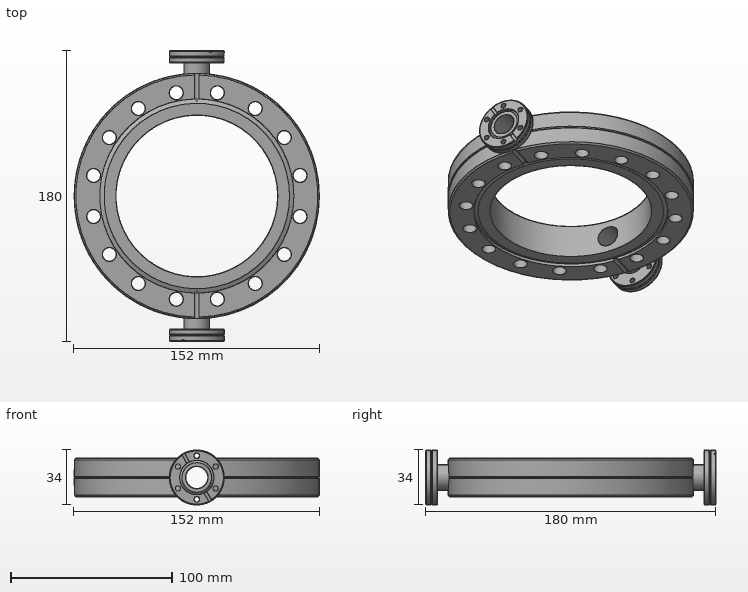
import cadquery as cq
ring_diameter = 152.0
ring_bore_diameter = 100.0
ring_thickness = 24.0
ring_chamfer = 1.0
ring_recess_diameter = 120.2
ring_knife_diameter = 114.8
ring_bolt_count = 16
ring_bolt_circle_diameter = 130.3
ring_bolt_hole_diameter = 8.5
ring_leak_groove_width = 2.9
ring_leak_groove_angle = 90.0

overall_length = 180.0
port_diameter = 34.0
port_thickness = 7.5
port_chamfer = 0.5
port_bore_diameter = 13.7
port_recess_diameter = 21.2
port_knife_diameter = 18.4
port_bolt_count = 6
port_bolt_circle_diameter = 27.0
port_bolt_hole_diameter = 3.2
port_bolt_start_angle = 90.0
port_leak_groove_width = 2.0
port_leak_groove_angle = 120.0
tube_diameter = 16.0

recess_depth = 2.0
knife_tip_depth = 0.7
rim_groove_half_height = 0.63
rim_groove_depth = 0.5

ring_radius = ring_diameter / 2
port_radius = port_diameter / 2


def flange_body(radius, thickness, chamfer):
    """Chamfered disc centred on the XY plane, with a V groove around the middle of its rim."""
    half = thickness / 2
    return (
        cq.Workplane("XZ")
        .moveTo(0, -half)
        .lineTo(radius - chamfer, -half)
        .lineTo(radius, -half + chamfer)
        .lineTo(radius, -rim_groove_half_height)
        .lineTo(radius - rim_groove_depth, 0)
        .lineTo(radius, rim_groove_half_height)
        .lineTo(radius, half - chamfer)
        .lineTo(radius - chamfer, half)
        .lineTo(0, half)
        .close()
        .revolve(360, (0, 0, 0), (0, 1, 0))
    )


def knife_edge_recess(face_z, recess_diameter, knife_diameter):
    """Cutter for a recess in the face at face_z, whose floor rises inward to the knife edge."""
    floor_z = face_z - recess_depth
    tip_z = face_z - knife_tip_depth
    return (
        cq.Workplane("XZ")
        .moveTo(0, face_z)
        .lineTo(recess_diameter / 2, face_z)
        .lineTo(recess_diameter / 2, floor_z)
        .lineTo(knife_diameter / 2, tip_z)
        .lineTo(0, tip_z)
        .close()
        .revolve(360, (0, 0, 0), (0, 1, 0))
    )


def leak_grooves(face_z, width, recess_diameter, knife_diameter, angle):
    """Cutter for two opposite half-round radial grooves, from the recess out past the rim."""
    inner_radius = (recess_diameter + knife_diameter) / 4
    groove = (
        cq.Workplane("ZY", origin=(-inner_radius, 0, face_z))
        .circle(width / 2)
        .extrude(recess_diameter)
    )
    pair = groove.union(groove.rotate((0, 0, 0), (0, 0, 1), 180))
    return pair.rotate((0, 0, 0), (0, 0, 1), angle)


def bolt_holes(count, circle_diameter, hole_diameter, thickness, start_angle):
    """Cutter for a circle of through holes."""
    return (
        cq.Workplane("XY", origin=(0, 0, -thickness / 2))
        .polarArray(circle_diameter / 2, start_angle, 360, count)
        .circle(hole_diameter / 2)
        .extrude(thickness)
    )


def main_ring():
    """Ring flange, sealing on both faces."""
    ring = flange_body(ring_radius, ring_thickness, ring_chamfer)
    bore = cq.Workplane("XY").circle(ring_bore_diameter / 2).extrude(ring_thickness, both=True)
    top_z = ring_thickness / 2
    recess = knife_edge_recess(top_z, ring_recess_diameter, ring_knife_diameter)
    grooves = leak_grooves(
        top_z, ring_leak_groove_width, ring_recess_diameter, ring_knife_diameter, ring_leak_groove_angle
    )
    top_cuts = recess.union(grooves)
    half_pitch = 180 / ring_bolt_count
    holes = bolt_holes(
        ring_bolt_count, ring_bolt_circle_diameter, ring_bolt_hole_diameter, ring_thickness, half_pitch
    )
    return ring.cut(bore).cut(top_cuts).cut(top_cuts.mirror("XY")).cut(holes)


def port_flange():
    """Small flange at -Y, sealing on its outer face."""
    face_z = port_thickness / 2
    recess = knife_edge_recess(face_z, port_recess_diameter, port_knife_diameter)
    grooves = leak_grooves(
        face_z, port_leak_groove_width, port_recess_diameter, port_knife_diameter, port_leak_groove_angle
    )
    holes = bolt_holes(
        port_bolt_count,
        port_bolt_circle_diameter,
        port_bolt_hole_diameter,
        port_thickness,
        port_bolt_start_angle,
    )
    flange = flange_body(port_radius, port_thickness, port_chamfer).cut(recess).cut(grooves).cut(holes)
    centre_y = -(overall_length - port_thickness) / 2
    return flange.rotate((0, 0, 0), (1, 0, 0), 90).translate((0, centre_y, 0))


def port():
    """Port at -Y: the small flange and the tube that joins it to the ring, still without a bore."""
    flange_back_y = overall_length / 2 - port_thickness
    tube_root_y = (ring_recess_diameter + ring_bore_diameter) / 4
    tube = (
        cq.Workplane("ZX", origin=(0, -flange_back_y, 0))
        .circle(tube_diameter / 2)
        .extrude(flange_back_y - tube_root_y)
    )
    return port_flange().union(tube)


front_port = port()
back_port = front_port.rotate((0, 0, 0), (0, 0, 1), 180)
port_bore = cq.Workplane("ZX").circle(port_bore_diameter / 2).extrude(overall_length / 2, both=True)

result = (
    main_ring()
    .union(front_port)
    .union(back_port)
    .cut(port_bore)
)